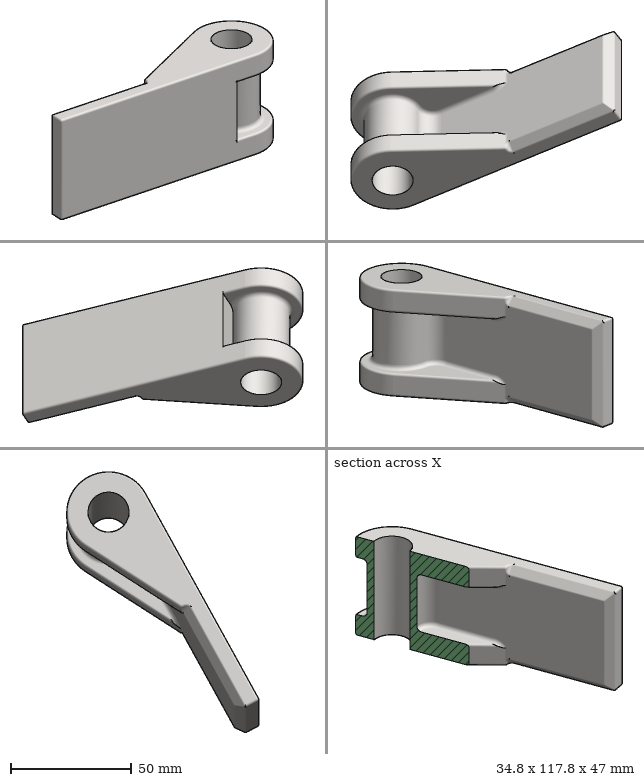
import cadquery as cq
import math

HEIGHT = 47.0
EYE_RADIUS = 17.4
BORE_DIAMETER = 17.0
HUB_RADIUS = 12.0
CHEEK_THICKNESS = 10.0
PLATE_THICKNESS = 10.0
PLATE_END_Y = -100.4
RAMP_FOOT_TO_END = 50.0
PLATE_BEVEL = 3.5
WEB_STOP_Y = -10.0

EDGE_RADIUS = 1.0
POCKET_FILLET = 2.0
RUN_OUT_LENGTH = 6.4
HUB_BLEND_RADIUS = 7.0
BEVEL_STOP_FILLET = 1.5
BEVEL_MITRE_RADIUS = 0.6

HALF_HEIGHT = HEIGHT / 2
HALF_POCKET = HALF_HEIGHT - CHEEK_THICKNESS
PLATE_BACK_X = EYE_RADIUS
PLATE_FACE_X = PLATE_BACK_X - PLATE_THICKNESS
RAMP_FOOT_Y = PLATE_END_Y + RAMP_FOOT_TO_END
FOOT_DISTANCE = math.hypot(PLATE_FACE_X, RAMP_FOOT_Y)
FOOT_ANGLE = math.atan2(RAMP_FOOT_Y, PLATE_FACE_X)
TANGENT_ANGLE = FOOT_ANGLE - math.acos(EYE_RADIUS / FOOT_DISTANCE)
RAMP_SLOPE = math.pi + TANGENT_ANGLE
RAMP_FOOT_END_Y = RAMP_FOOT_Y - POCKET_FILLET * math.tan(RAMP_SLOPE / 2)

CUT_MARGIN = 5.0
TOLERANCE = 1e-4
BACK_END_CORNER = cq.selectors.NearestToPointSelector((PLATE_BACK_X, PLATE_END_Y, 0))


def polar(radius, angle, centre=(0, 0)):
    """XY point at a radius and angle about a centre, the eye axis by default."""
    return (centre[0] + radius * math.cos(angle), centre[1] + radius * math.sin(angle))


def make_body():
    """Full-height prism of eye, straight ramp and plate."""
    arc_middle_angle = TANGENT_ANGLE / 2 + math.pi
    return (
        cq.Workplane("XY")
        .moveTo(PLATE_BACK_X, PLATE_END_Y)
        .lineTo(PLATE_BACK_X, 0)
        .threePointArc(polar(EYE_RADIUS, arc_middle_angle), polar(EYE_RADIUS, TANGENT_ANGLE))
        .lineTo(PLATE_FACE_X, RAMP_FOOT_Y)
        .lineTo(PLATE_FACE_X, PLATE_END_Y)
        .close()
        .extrude(HALF_HEIGHT, both=True)
    )


def make_pocket():
    """Space between the cheeks, going around the hub, its blend and the plate."""
    blend_x = PLATE_FACE_X - HUB_BLEND_RADIUS
    centre_distance = HUB_RADIUS + HUB_BLEND_RADIUS
    blend_y = -math.sqrt(centre_distance**2 - blend_x**2)
    blend_angle = math.atan2(blend_y, blend_x)
    blend_middle = polar(HUB_BLEND_RADIUS, (blend_angle + math.pi) / 2, (blend_x, blend_y))
    stop_angle = math.asin(WEB_STOP_Y / HUB_RADIUS)
    hub_middle = polar(HUB_RADIUS, (blend_angle + stop_angle) / 2 + math.pi)
    reach = EYE_RADIUS + CUT_MARGIN
    return (
        cq.Workplane("XY")
        .moveTo(PLATE_FACE_X, PLATE_END_Y - CUT_MARGIN)
        .lineTo(PLATE_FACE_X, blend_y)
        .threePointArc(blend_middle, polar(HUB_RADIUS, blend_angle))
        .threePointArc(hub_middle, polar(HUB_RADIUS, stop_angle))
        .lineTo(reach, WEB_STOP_Y)
        .lineTo(reach, reach)
        .lineTo(-reach, reach)
        .lineTo(-reach, PLATE_END_Y - CUT_MARGIN)
        .close()
        .extrude(HALF_POCKET, both=True)
    )


def is_pocket_corner(edge):
    """True for the inner corners of the cheeks along the plate face, the blend and the hub."""
    centre = edge.Center()
    if abs(abs(centre.z) - HALF_POCKET) > TOLERANCE:
        return False
    if edge.geomType() == "CIRCLE":
        return edge.radius() < EYE_RADIUS - TOLERANCE
    ends = (edge.startPoint(), edge.endPoint())
    return all(abs(end.x - PLATE_FACE_X) < TOLERANCE for end in ends)


def is_ramp_foot(edge):
    """True for the upright corners where the ramps meet the plate face."""
    centre = edge.Center()
    return abs(centre.x - PLATE_FACE_X) < TOLERANCE and abs(centre.y - RAMP_FOOT_Y) < TOLERANCE


def is_cheek_inner_rim(edge):
    """True for the free edges of the cheeks that face the pocket."""
    centre = edge.Center()
    if abs(abs(centre.z) - HALF_POCKET) > TOLERANCE:
        return False
    if edge.geomType() == "CIRCLE":
        return edge.radius() > EYE_RADIUS - TOLERANCE
    if edge.geomType() != "LINE":
        return False
    ends = (edge.startPoint(), edge.endPoint())
    on_back = all(abs(end.x - PLATE_BACK_X) < TOLERANCE for end in ends)
    on_ramp = abs(ends[0].x - ends[1].x) > PLATE_THICKNESS
    return on_back or on_ramp


def is_bevel_stop_rim(edge):
    """True for the outer rims of the curved walls where the long bevels stop."""
    centre = edge.Center()
    near_stop = RAMP_FOOT_Y - BEVEL_STOP_FILLET < centre.y < RAMP_FOOT_Y + TOLERANCE
    return near_stop and abs(centre.z) > HALF_HEIGHT - TOLERANCE


def is_bevel_mitre(edge):
    """True for the corners where the long bevels meet the end bevel."""
    centre = edge.Center()
    half_bevel = PLATE_BEVEL / 2
    mitre = cq.Vector(PLATE_FACE_X + half_bevel, PLATE_END_Y + half_bevel, HALF_HEIGHT - half_bevel)
    return (cq.Vector(centre.x, centre.y, abs(centre.z)) - mitre).Length < EDGE_RADIUS / 2


def fillet_where(part, test, radius):
    """Round every edge of the part that passes the test."""
    return part.newObject([edge for edge in part.edges().vals() if test(edge)]).fillet(radius)


def make_run_out(side):
    """Tool that curves a pocket fillet away to nothing at the ramp foot; side is the Z sign."""
    start_z = HALF_POCKET - POCKET_FILLET
    end_z = HALF_POCKET + EDGE_RADIUS
    start_y = RAMP_FOOT_END_Y + RUN_OUT_LENGTH
    turn = 2 * math.atan2(end_z - start_z, RUN_OUT_LENGTH)
    plate_radius = RUN_OUT_LENGTH / math.sin(turn)
    wall_radius = plate_radius - POCKET_FILLET

    def on_wall(angle):
        wall_z = start_z + plate_radius - wall_radius * math.cos(angle)
        return (start_y - wall_radius * math.sin(angle), side * wall_z)

    tool = (
        cq.Workplane("YZ", origin=(PLATE_FACE_X, 0, 0))
        .moveTo(start_y, 0)
        .lineTo(*on_wall(0))
        .threePointArc(on_wall(turn / 2), on_wall(turn))
        .lineTo(RAMP_FOOT_END_Y, side * end_z)
        .lineTo(RAMP_FOOT_END_Y, 0)
        .close()
        .extrude(-2 * POCKET_FILLET)
    )
    wall_edge = cq.selectors.NearestToPointSelector((PLATE_FACE_X, *on_wall(turn / 2)))
    return tool.edges(wall_edge).fillet(POCKET_FILLET)


def bevel_profile(plane, corner, outward):
    """Section of a 45 degree bevel tool at a plate corner, blended into both faces.

    The first plane coordinate is X; outward is the sign of the second one.
    """
    bevel_angle = math.pi / 4
    half_angle = bevel_angle / 2
    tangent_length = EDGE_RADIUS * math.tan(half_angle)
    blend_shift = tangent_length * math.sin(bevel_angle)
    middle_depth = EDGE_RADIUS * (1 - math.cos(half_angle))
    middle_run = EDGE_RADIUS * math.sin(half_angle)
    length = PLATE_BEVEL + tangent_length

    def at(depth, setback):
        return (corner[0] + depth, corner[1] - outward * setback)

    return (
        plane
        .moveTo(*at(-CUT_MARGIN, length))
        .lineTo(*at(0, length))
        .threePointArc(at(middle_depth, length - middle_run), at(blend_shift, PLATE_BEVEL - blend_shift))
        .lineTo(*at(PLATE_BEVEL - blend_shift, blend_shift))
        .threePointArc(at(length - middle_run, middle_depth), at(length, 0))
        .lineTo(*at(length, -CUT_MARGIN))
        .lineTo(*at(-CUT_MARGIN, -CUT_MARGIN))
        .close()
    )


def make_long_bevel():
    """Tool for the upper long edge of the plate face, with a rounded run-out at the cheek."""
    plane = cq.Workplane("XZ", origin=(0, RAMP_FOOT_Y, 0))
    tool = bevel_profile(plane, (PLATE_FACE_X, HALF_HEIGHT), 1)
    tool = tool.extrude(RAMP_FOOT_TO_END + CUT_MARGIN)
    stop_middle = (PLATE_FACE_X + PLATE_BEVEL / 2, RAMP_FOOT_Y, HALF_HEIGHT - PLATE_BEVEL / 2)
    return tool.edges(cq.selectors.NearestToPointSelector(stop_middle)).fillet(BEVEL_STOP_FILLET)


def make_end_bevel():
    """Tool for the edge of the plate face at the free end."""
    profile = bevel_profile(cq.Workplane("XY"), (PLATE_FACE_X, PLATE_END_Y), -1)
    return profile.extrude(HALF_HEIGHT + CUT_MARGIN, both=True)


def make_bore():
    """Through hole along the eye axis."""
    return cq.Workplane("XY").circle(BORE_DIAMETER / 2).extrude(HALF_HEIGHT + CUT_MARGIN, both=True)


part = make_body().cut(make_pocket())
part = fillet_where(part, lambda edge: is_pocket_corner(edge) or is_ramp_foot(edge), POCKET_FILLET)
part = fillet_where(part, is_cheek_inner_rim, EDGE_RADIUS)
part = part.cut(make_run_out(1)).cut(make_run_out(-1))

part = part.edges(BACK_END_CORNER).fillet(EDGE_RADIUS)
part = part.faces("<Z or >Z").edges().fillet(EDGE_RADIUS)

long_bevel = make_long_bevel()
part = part.cut(long_bevel).cut(long_bevel.mirror("XY")).cut(make_end_bevel())
part = fillet_where(part, is_bevel_stop_rim, EDGE_RADIUS)
part = fillet_where(part, is_bevel_mitre, BEVEL_MITRE_RADIUS)

result = part.cut(make_bore())